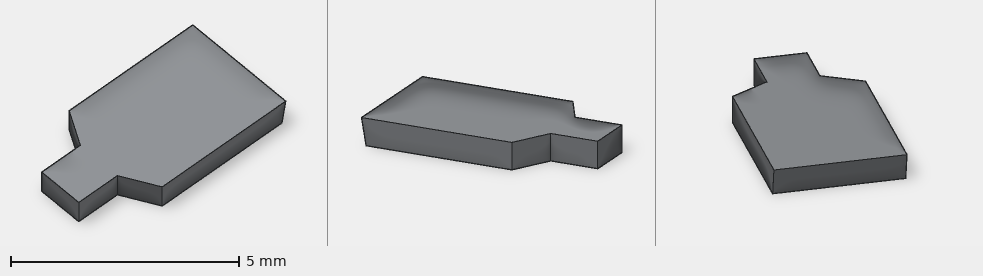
import cadquery as cq
import math

body_width = 3.01
tab_width = 1.2
total_length = 5.33
thickness = 0.64
tab_length = 1.15
shoulder_length = 0.5
rear_relief_angle = 10.0

shoulder_start = tab_length
shoulder_end = tab_length + shoulder_length
relief_depth = thickness * math.tan(math.radians(rear_relief_angle))


def make_blank():
    """Flat plate: wide body, sloped shoulders and a narrow tab toward -Y."""
    right_side = [
        (tab_width / 2, 0),
        (tab_width / 2, shoulder_start),
        (body_width / 2, shoulder_end),
        (body_width / 2, total_length),
    ]
    left_side = [(-x, y) for x, y in reversed(right_side)]
    return cq.Workplane("XY").polyline(right_side + left_side).close().extrude(thickness)


def make_rear_relief():
    """Wedge that slopes the rear face inward from the top edge to the bottom."""
    return (
        cq.Workplane("YZ")
        .moveTo(total_length, thickness)
        .lineTo(total_length, 0)
        .lineTo(total_length - relief_depth, 0)
        .close()
        .extrude(body_width / 2, both=True)
    )


result = make_blank().cut(make_rear_relief())